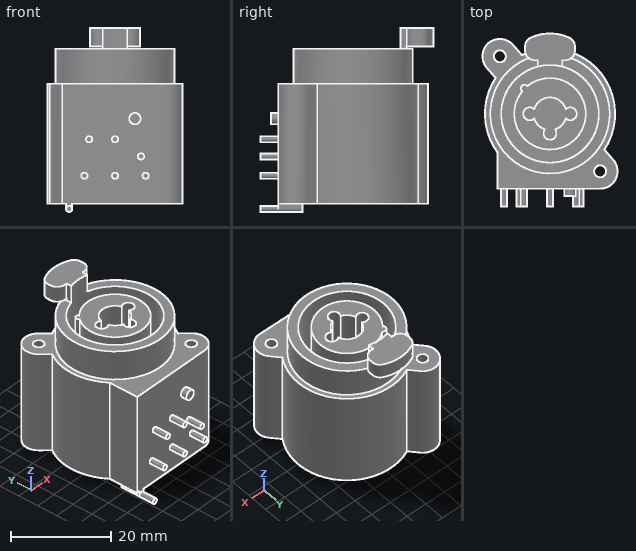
import cadquery as cq
import math

body_height = 24.03
body_radius = 13.03
side_x = -10.5
ear_radius = 3.5
ear_x = 10.0
ear_y = 11.5
ear_hole_radius = 1.18
front_y = -(ear_y + ear_radius)

ring_height = 7.0
ring_top = body_height + ring_height
ring_radius = 11.92
groove_radius = 9.75
core_radius = 7.15
socket_depth = 14.72
key_radius = 0.75
key_offset = 5.08

bore_radius = 3.28
lobe_radius = 1.3
side_lobe_offset = 4.05
front_lobe_offset = 3.9

tab_half_width = 5.0
tab_front_y = 10.7
tab_back_y = 16.1
tab_upper_corner_y = 13.45
tab_corner_radius = 1.95
tab_thickness = 3.75
tab_gap = 0.4
tab_top = ring_top + tab_gap + tab_thickness
stem_half_width = 2.45

pin_radius = 0.63
pin_length = 3.55
pin_places = [(-5.2, 12.9), (0, 12.9), (5.2, 9.5), (-6.1, 5.63), (0, 5.63), (6.1, 5.63)]
peg_radius = 1.15
peg_length = 1.45
peg_x = 3.97
peg_z = 17.05

ground_x = -9.15
ground_z = -1.0
ground_inner_length = 4.9


def cylinder(x, y, radius, bottom, top):
    """Vertical cylinder between two heights."""
    return cq.Workplane("XY", origin=(x, y, bottom)).circle(radius).extrude(top - bottom)


def box(x_min, x_max, y_min, y_max, bottom, top):
    """Block given by its limits."""
    size = (x_max - x_min, y_max - y_min, top - bottom)
    return cq.Workplane("XY", origin=(x_min, y_min, bottom)).box(*size, centered=False)


def front_pin(x, z, radius, length, inner_length=0):
    """Round pin along -Y, standing out of the front face by its length."""
    start = (x, front_y + inner_length, z)
    return cq.Workplane("XZ", origin=start).circle(radius).extrude(length + inner_length)


def make_ear(x, y):
    """Rounded ear whose parallel sides run to the socket axis."""
    reach = math.hypot(x, y)
    angle = math.degrees(math.atan2(y, x))
    arm = box(0, reach, -ear_radius, ear_radius, 0, body_height)
    arm = arm.rotate((0, 0, 0), (0, 0, 1), angle)
    return arm.union(cylinder(x, y, ear_radius, 0, body_height))


def make_body():
    body = cylinder(0, 0, body_radius, 0, body_height)
    body = body.union(box(side_x, ear_x, front_y, 0, 0, body_height))
    ear_places = [(-ear_x, ear_y), (ear_x, -ear_y)]
    for x, y in ear_places:
        body = body.union(make_ear(x, y))
    for x, y in ear_places:
        body = body.cut(cylinder(x, y, ear_hole_radius, 0, body_height))
    return body.union(cylinder(0, 0, ring_radius, body_height, ring_top))


def make_socket_cut():
    """Annular groove around the keyed core, plus the lobed bore."""
    floor = ring_top - socket_depth
    groove = cylinder(0, 0, groove_radius, floor, ring_top)
    groove = groove.cut(cylinder(0, 0, core_radius, floor, ring_top))
    groove = groove.cut(cylinder(-key_offset, key_offset, key_radius, floor, ring_top))
    bore = cylinder(0, 0, bore_radius, floor, ring_top)
    lobe_places = [(-side_lobe_offset, 0), (side_lobe_offset, 0), (0, -front_lobe_offset)]
    for x, y in lobe_places:
        bore = bore.union(cylinder(x, y, lobe_radius, floor, ring_top))
    return groove.union(bore)


def make_tab():
    """Thumb tab on a stem whose front continues the groove wall."""
    shoulder_x = tab_half_width - tab_corner_radius
    lower_y = tab_front_y + tab_corner_radius
    upper_y = tab_upper_corner_y
    diagonal = tab_corner_radius * math.sqrt(0.5)
    arc_x = shoulder_x + diagonal
    rise = tab_back_y - tab_corner_radius - upper_y
    center_distance = (shoulder_x**2 + rise**2) / (2 * rise)
    lean = math.asin(shoulder_x / center_distance)
    end_x = shoulder_x + tab_corner_radius * math.sin(lean)
    end_y = upper_y + tab_corner_radius * math.cos(lean)
    corner_middle = (math.pi / 2 - lean) / 2
    middle_x = shoulder_x + tab_corner_radius * math.cos(corner_middle)
    middle_y = upper_y + tab_corner_radius * math.sin(corner_middle)
    tab = (
        cq.Workplane("XY", origin=(0, 0, ring_top + tab_gap))
        .moveTo(-shoulder_x, tab_front_y)
        .lineTo(shoulder_x, tab_front_y)
        .threePointArc((arc_x, lower_y - diagonal), (tab_half_width, lower_y))
        .lineTo(tab_half_width, upper_y)
        .threePointArc((middle_x, middle_y), (end_x, end_y))
        .threePointArc((0, tab_back_y), (-end_x, end_y))
        .threePointArc((-middle_x, middle_y), (-tab_half_width, upper_y))
        .lineTo(-tab_half_width, lower_y)
        .threePointArc((-arc_x, lower_y - diagonal), (-shoulder_x, tab_front_y))
        .close()
        .extrude(tab_thickness)
    )
    stem = box(-stem_half_width, stem_half_width, 0, tab_front_y, ring_top, tab_top)
    stem = stem.cut(cylinder(0, 0, groove_radius, ring_top, tab_top))
    return tab.union(stem)


def make_ground_pin():
    """Pin below the body, joined to it by a web as wide as the pin."""
    pin = front_pin(ground_x, ground_z, pin_radius, pin_length, ground_inner_length)
    web_back = front_y + ground_inner_length
    web = box(ground_x - pin_radius, ground_x + pin_radius, front_y, web_back, ground_z, 0)
    return pin.union(web)


part = make_body().cut(make_socket_cut()).union(make_tab()).union(make_ground_pin())
for pin_x, pin_z in pin_places:
    part = part.union(front_pin(pin_x, pin_z, pin_radius, pin_length))
part = part.union(front_pin(peg_x, peg_z, peg_radius, peg_length))

result = part